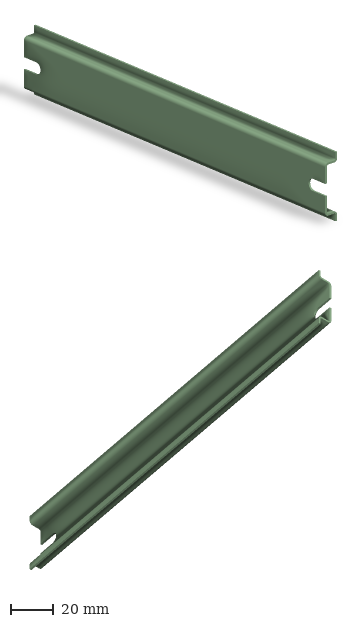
import cadquery as cq

length = 214.0
depth = 7.5
height = 35.0
thickness = 1.0
hat_height = 27.0
inner_radius = 0.9
outer_radius = inner_radius + thickness

slot_width = 6.2
slot_depth = 11.8

web_face = -depth / 2
flange_face = depth / 2


def block(y_min, y_max, z_height):
    """Full-length block centred in X and Z, between two Y positions."""
    return (
        cq.Workplane("XY")
        .box(length, y_max - y_min, z_height)
        .translate((0, (y_min + y_max) / 2, 0))
    )


def bend_edges(y, z_height):
    """Selector for the pair of X-direction edges at +/- half of z_height."""
    margin = thickness / 4
    half = z_height / 2
    boxes = [
        cq.selectors.BoxSelector(
            (-length, y - margin, side * half - margin),
            (length, y + margin, side * half + margin),
        )
        for side in (-1, 1)
    ]
    return boxes[0] + boxes[1]


def rail():
    """Solid hat with flanges, hollowed from the flange side, all bends rounded."""
    channel_height = hat_height - 2 * thickness
    flange_front = flange_face - thickness
    channel_floor = web_face + thickness

    hat = block(web_face, flange_face, hat_height)
    flanges = block(flange_front, flange_face, height)
    channel = block(channel_floor, flange_face, channel_height)
    body = hat.union(flanges).cut(channel)

    body = body.edges(bend_edges(web_face, hat_height)).fillet(outer_radius)
    body = body.edges(bend_edges(channel_floor, channel_height)).fillet(inner_radius)
    body = body.edges(bend_edges(flange_front, hat_height)).fillet(inner_radius)
    return body.edges(bend_edges(flange_face, channel_height)).fillet(outer_radius)


def end_slots():
    """Cutters for the round-ended slots, each open at its rail end."""
    return (
        cq.Workplane("XZ")
        .pushPoints([(-length / 2, 0), (length / 2, 0)])
        .slot2D(2 * slot_depth, slot_width)
        .extrude(depth, both=True)
    )


result = rail().cut(end_slots())